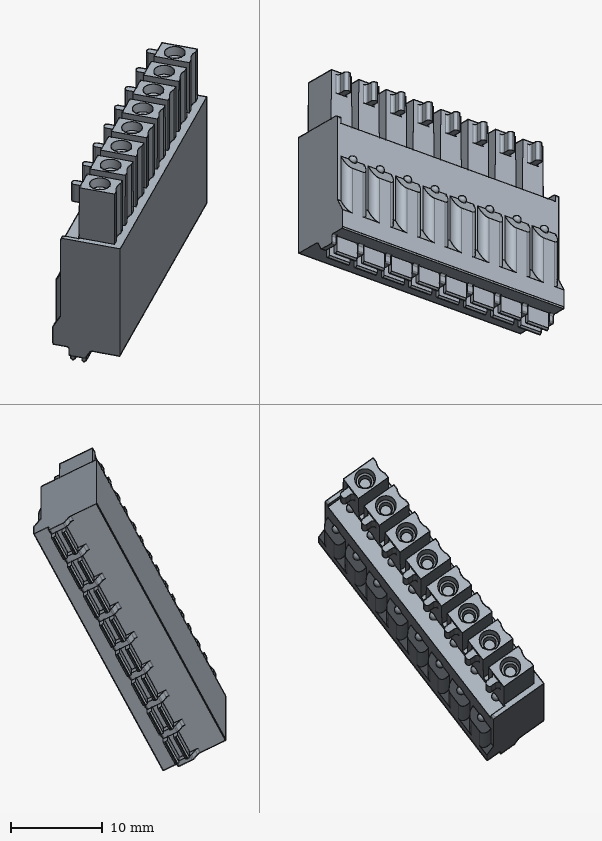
import cadquery as cq
import math


POLES = 8
PITCH = 3.81
LENGTH = 30.87
DEPTH = 7.75
HEIGHT = 22.9

HOUSING_BOTTOM = 2.07
HOUSING_TOP = 16.3
UPPER_FRONT = 0.9
RAMP_BOTTOM = 4.35
RAMP_TOP = 5.94
BOTTOM_CHAMFER_HEIGHT = 0.2
BOTTOM_CHAMFER_DEPTH = 0.07
TOP_ROUND = 0.27

LEDGE_LEVEL = 15.45
END_WALL = 0.5

FOOT_FRONT = 1.86
FOOT_BACK_BOTTOM = 3.75
FOOT_BACK_TOP = 4.38
FOOT_LEVEL = 0.98
FOOT_EDGE_ROUND = 0.18
FOOT_ROOT_ROUND = 0.22
PIN_CLEARANCE = 0.1

COVER_WIDTH = 3.26
COVER_ROUND = 0.89
COVER_SHOULDER = 9.84
COVER_TOP = 11.42

BALL_RADIUS = 0.5

TOWER_FRONT = 2.83
TOWER_BACK = 6.88
TOWER_BASE_WIDTH = 2.92
TOWER_TOP_WIDTH = 2.78
GROOVE_WIDTH = 1.6
GROOVE_DEPTH = 0.2

KEY_FRONT = 1.55
KEY_WIDTH = 0.8
KEY_DROP = 0.4
KEY_HEIGHT = 2.28
KEY_TIP_ROUND = 0.34
KEY_ROOT_ROUND = 0.36

FUNNEL_X = 4.75
FUNNEL_MOUTH_RADIUS = 1.13
FUNNEL_WALL_RADIUS = 0.96
FUNNEL_WALL_DEPTH = 1.05
FUNNEL_SEAT_RADIUS = 0.72
FUNNEL_SEAT_DEPTH = 1.2
FUNNEL_FLOOR_RADIUS = 0.6
FUNNEL_FLOOR_DEPTH = 2.0

PIN_WIDTH = 2.86
PIN_THICKNESS = 0.5
PIN_SPACING = 1.27
PIN_TIP_CHAMFER = 0.2

OVERLAP = 0.2

POLE_CENTRES = [PITCH * (i - (POLES - 1) / 2) for i in range(POLES)]


def along_length(profile):
    """Extrude an XZ profile symmetrically over the full housing length."""
    return profile.extrude(LENGTH / 2, both=True)


def make_housing():
    chamfer_top = HOUSING_BOTTOM + BOTTOM_CHAMFER_HEIGHT
    profile = cq.Workplane("XZ").polyline([
        (0, chamfer_top),
        (BOTTOM_CHAMFER_DEPTH, HOUSING_BOTTOM),
        (DEPTH - BOTTOM_CHAMFER_DEPTH, HOUSING_BOTTOM),
        (DEPTH, chamfer_top),
        (DEPTH, HOUSING_TOP),
        (UPPER_FRONT, HOUSING_TOP),
        (UPPER_FRONT, RAMP_TOP),
        (0, RAMP_BOTTOM),
    ]).close()
    housing = along_length(profile)
    housing = housing.faces(">Z").edges("<X").fillet(TOP_ROUND)
    ledge = cq.Workplane("XY").box(
        TOWER_FRONT, LENGTH - 2 * END_WALL, HOUSING_TOP - LEDGE_LEVEL,
        centered=(False, True, False),
    )
    return housing.cut(ledge.translate((0, 0, LEDGE_LEVEL)))


def make_foot():
    root = FOOT_ROOT_ROUND
    slope_run = FOOT_BACK_TOP - FOOT_BACK_BOTTOM
    slope_length = math.hypot(slope_run, HOUSING_BOTTOM - FOOT_LEVEL)
    along_x = root * slope_run / slope_length
    along_z = root * (HOUSING_BOTTOM - FOOT_LEVEL) / slope_length
    profile = (
        cq.Workplane("XZ")
        .moveTo(FOOT_FRONT - root, HOUSING_BOTTOM)
        .radiusArc((FOOT_FRONT, HOUSING_BOTTOM - root), root)
        .lineTo(FOOT_FRONT, FOOT_LEVEL)
        .lineTo(FOOT_BACK_BOTTOM, FOOT_LEVEL)
        .lineTo(FOOT_BACK_TOP - along_x, HOUSING_BOTTOM - along_z)
        .tangentArcPoint((FOOT_BACK_TOP + root, HOUSING_BOTTOM), relative=False)
        .lineTo(FOOT_BACK_TOP + root, HOUSING_BOTTOM + OVERLAP)
        .lineTo(FOOT_FRONT - root, HOUSING_BOTTOM + OVERLAP)
        .close()
    )
    foot = along_length(profile).faces("<Z").edges("|Y").fillet(FOOT_EDGE_ROUND)
    slot = cq.Workplane("XY").box(
        DEPTH, PIN_WIDTH + 2 * PIN_CLEARANCE, HOUSING_BOTTOM, centered=(False, True, False)
    )
    for centre in POLE_CENTRES:
        foot = foot.cut(slot.translate((0, centre, 0)))
    return foot


def make_cover():
    """Front cover with rounded sides, sloped top, running down into the housing ramp."""
    bar = (
        cq.Workplane("XY").workplane(offset=RAMP_BOTTOM)
        .rect(2 * UPPER_FRONT, COVER_WIDTH)
        .extrude(COVER_TOP - RAMP_BOTTOM)
        .translate((UPPER_FRONT, 0, 0))
        .faces("<X").edges("|Z").fillet(COVER_ROUND)
    )
    side = cq.Workplane("XZ").polyline([
        (0, RAMP_BOTTOM),
        (0, COVER_SHOULDER),
        (UPPER_FRONT, COVER_TOP),
        (2 * UPPER_FRONT, COVER_TOP),
        (2 * UPPER_FRONT, RAMP_BOTTOM),
    ]).close().extrude(COVER_WIDTH / 2, both=True)
    return bar.intersect(side)


def make_tower():
    half_base = TOWER_BASE_WIDTH / 2
    half_top = TOWER_TOP_WIDTH / 2
    tower = (
        cq.Workplane("YZ").workplane(offset=TOWER_FRONT)
        .polyline([
            (-half_base, LEDGE_LEVEL),
            (-half_base, HOUSING_TOP),
            (-half_top, HEIGHT),
            (half_top, HEIGHT),
            (half_base, HOUSING_TOP),
            (half_base, LEDGE_LEVEL),
        ]).close()
        .extrude(TOWER_BACK - TOWER_FRONT)
    )
    groove = (
        cq.Workplane("XY").workplane(offset=HOUSING_TOP)
        .moveTo(TOWER_BACK, -GROOVE_WIDTH / 2)
        .threePointArc((TOWER_BACK - GROOVE_DEPTH, 0), (TOWER_BACK, GROOVE_WIDTH / 2))
        .close()
        .extrude(HEIGHT - HOUSING_TOP)
    )
    return tower.cut(groove).cut(make_funnel())


def make_funnel():
    profile = cq.Workplane("XZ").polyline([
        (0, HEIGHT),
        (FUNNEL_MOUTH_RADIUS, HEIGHT),
        (FUNNEL_WALL_RADIUS, HEIGHT - FUNNEL_WALL_DEPTH),
        (FUNNEL_SEAT_RADIUS, HEIGHT - FUNNEL_SEAT_DEPTH),
        (FUNNEL_FLOOR_RADIUS, HEIGHT - FUNNEL_FLOOR_DEPTH),
        (0, HEIGHT - FUNNEL_FLOOR_DEPTH),
    ]).close()
    return profile.revolve(360, (0, 0, 0), (0, 1, 0)).translate((FUNNEL_X, 0, 0))


def make_key():
    """Locating key with a rounded tip and flared root."""
    half = KEY_WIDTH / 2
    tip = KEY_TIP_ROUND
    root = KEY_ROOT_ROUND
    return (
        cq.Workplane("XY").workplane(offset=HEIGHT - KEY_DROP - KEY_HEIGHT)
        .moveTo(TOWER_FRONT, -half - root)
        .radiusArc((TOWER_FRONT - root, -half), -root)
        .lineTo(KEY_FRONT + tip, -half)
        .radiusArc((KEY_FRONT, -half + tip), tip)
        .lineTo(KEY_FRONT, half - tip)
        .radiusArc((KEY_FRONT + tip, half), tip)
        .lineTo(TOWER_FRONT - root, half)
        .radiusArc((TOWER_FRONT, half + root), -root)
        .close()
        .extrude(KEY_HEIGHT)
    )


def make_pin(front):
    return (
        cq.Workplane("XY")
        .box(PIN_THICKNESS, PIN_WIDTH, HOUSING_BOTTOM + OVERLAP, centered=(False, True, False))
        .faces("<Z").edges("|Y").chamfer(PIN_TIP_CHAMFER)
        .translate((front, 0, 0))
    )


def make_ball(x, z):
    return cq.Workplane("XY").sphere(BALL_RADIUS).translate((x, 0, z))


pole_features = [
    make_cover(),
    make_tower(),
    make_key(),
    make_pin(FOOT_FRONT),
    make_pin(FOOT_FRONT + PIN_SPACING),
    make_ball(UPPER_FRONT, COVER_TOP),
    make_ball(TOWER_FRONT, LEDGE_LEVEL),
]

result = make_housing().union(make_foot())
for centre in POLE_CENTRES:
    for feature in pole_features:
        result = result.union(feature.translate((0, centre, 0)))